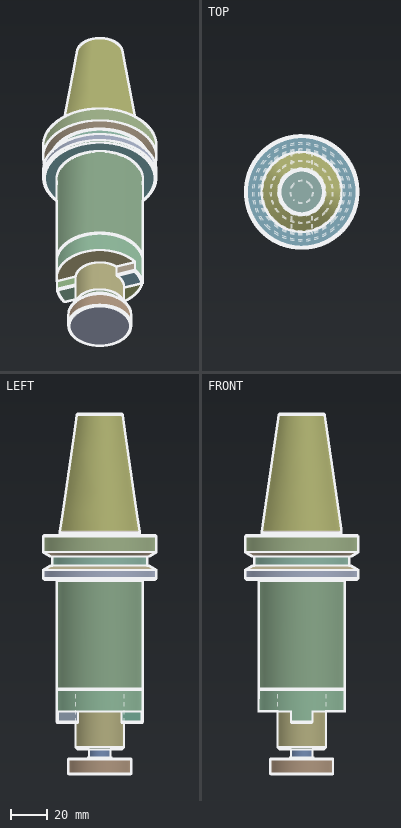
import cadquery as cq


GAUGE_DIAMETER = 44.45
TAPER_LENGTH = 65.4
TAPER_RATIO = 7 / 24
TAPER_TIP_CHAMFER = 0.8
TAPER_TIP_DIAMETER = GAUGE_DIAMETER - TAPER_RATIO * TAPER_LENGTH

NECK_RELIEF_TOP = -0.6
NECK_RELIEF_WIDTH = 1.0
SHANK_RELIEF_WIDTH = 0.6
RELIEF_DEPTH = 0.7

FLANGE_DIAMETER = 63.0
FLANGE_TOP = -2.0
FLANGE_BOTTOM = -27.0
FLANGE_CHAMFER = 1.0
GROOVE_CENTER = -16.6
GROOVE_MOUTH_WIDTH = 10.0
GROOVE_FLOOR_WIDTH = 5.0
GROOVE_WALL_DIAMETER = 54.8
GROOVE_FLOOR_DIAMETER = 53.0

SHANK_DIAMETER = 48.0
SHOULDER = -100.0
DRIVE_RING_HEIGHT = 12.0
SHANK_CHAMFER = 0.8
DRIVE_RING_TOP = SHOULDER + DRIVE_RING_HEIGHT

KEY_WIDTH = 12.0
KEY_HEIGHT = 6.3
KEY_CHAMFER = 0.6

SPIGOT_DIAMETER = 27.0
SPIGOT_LENGTH = 21.0
SPIGOT_CHAMFER = 1.3
SPIGOT_END = SHOULDER - SPIGOT_LENGTH

STEM_DIAMETER = 12.0
HEAD_DIAMETER = 35.0
HEAD_HEIGHT = 9.0
HEAD_GAP = 5.0
HEAD_CHAMFER = 0.6
COLLAR_DIAMETER = 13.0
COLLAR_HEIGHT = 0.5
HEAD_TOP = SPIGOT_END - HEAD_GAP
HEAD_BOTTOM = HEAD_TOP - HEAD_HEIGHT


def revolve_profile(points):
    """Revolve a closed (radius, height) outline about the Z axis."""
    return cq.Workplane("XZ").polyline(points).close().revolve(360, (0, 0), (0, 1))


def cylinder(diameter, bottom, top):
    return cq.Workplane("XY").workplane(offset=bottom).circle(diameter / 2).extrude(top - bottom)


def make_taper():
    taper = revolve_profile([
        (0, 0),
        (GAUGE_DIAMETER / 2, 0),
        (TAPER_TIP_DIAMETER / 2, TAPER_LENGTH),
        (0, TAPER_LENGTH),
    ])
    taper = taper.faces(">Z").chamfer(TAPER_TIP_CHAMFER)
    return taper.union(cylinder(GAUGE_DIAMETER, FLANGE_TOP, 0))


def make_flange():
    """Gripper flange whose sloping groove walls end in a small step at the floor."""
    flange = cylinder(FLANGE_DIAMETER, FLANGE_BOTTOM, FLANGE_TOP)
    flange = flange.faces("<Z or >Z").chamfer(FLANGE_CHAMFER)
    mouth = GROOVE_MOUTH_WIDTH / 2
    floor = GROOVE_FLOOR_WIDTH / 2
    groove = revolve_profile([
        (FLANGE_DIAMETER / 2, GROOVE_CENTER + mouth),
        (GROOVE_WALL_DIAMETER / 2, GROOVE_CENTER + floor),
        (GROOVE_FLOOR_DIAMETER / 2, GROOVE_CENTER + floor),
        (GROOVE_FLOOR_DIAMETER / 2, GROOVE_CENTER - floor),
        (GROOVE_WALL_DIAMETER / 2, GROOVE_CENTER - floor),
        (FLANGE_DIAMETER / 2, GROOVE_CENTER - mouth),
    ])
    return flange.cut(groove)


def make_shank():
    """Plain shank with a chamfered lower edge that meets the flat top of the drive ring."""
    shank = cylinder(SHANK_DIAMETER, DRIVE_RING_TOP, FLANGE_BOTTOM)
    return shank.faces("<Z").chamfer(SHANK_CHAMFER)


def relief_groove(diameter, bottom, top):
    """Ring-shaped cutter that recesses a cylinder of the given diameter."""
    core = cylinder(diameter - 2 * RELIEF_DEPTH, bottom, top)
    return cylinder(diameter, bottom, top).cut(core)


def make_reliefs():
    neck_relief = relief_groove(GAUGE_DIAMETER, NECK_RELIEF_TOP - NECK_RELIEF_WIDTH, NECK_RELIEF_TOP)
    shank_relief = relief_groove(SHANK_DIAMETER, FLANGE_BOTTOM - SHANK_RELIEF_WIDTH, FLANGE_BOTTOM)
    return neck_relief.union(shank_relief)


def make_spigot():
    """Pilot that passes through the drive ring and locates the cutter."""
    spigot = cylinder(SPIGOT_DIAMETER, SPIGOT_END, DRIVE_RING_TOP)
    return spigot.faces("<Z").chamfer(SPIGOT_CHAMFER)


def make_screw_end():
    """Stem and flat round head below the spigot."""
    head = cylinder(HEAD_DIAMETER, HEAD_BOTTOM, HEAD_TOP)
    head = head.faces("<Z or >Z").chamfer(HEAD_CHAMFER)
    collar = cylinder(COLLAR_DIAMETER, HEAD_TOP, HEAD_TOP + COLLAR_HEIGHT)
    stem = cylinder(STEM_DIAMETER, HEAD_TOP, SPIGOT_END)
    return head.union(collar).union(stem)


def make_arbor():
    arbor = make_taper().union(make_flange()).union(make_shank()).cut(make_reliefs())
    return arbor.union(make_spigot()).union(make_screw_end())


def make_keys():
    """One bar across the ring along Y, rounded at its ends by the ring diameter.

    The bore of the ring later removes its middle, which leaves a drive key on each side.
    """
    key_bottom = SHOULDER - KEY_HEIGHT
    bar = (
        cq.Workplane("XY")
        .workplane(offset=key_bottom)
        .rect(KEY_WIDTH, SHANK_DIAMETER)
        .extrude(KEY_HEIGHT)
    )
    bar = bar.intersect(cylinder(SHANK_DIAMETER, key_bottom, SHOULDER))
    return bar.faces("<Z").chamfer(KEY_CHAMFER)


def make_drive_ring():
    ring = cylinder(SHANK_DIAMETER, SHOULDER, DRIVE_RING_TOP).union(make_keys())
    bore = cylinder(SPIGOT_DIAMETER, SHOULDER - KEY_HEIGHT, DRIVE_RING_TOP)
    return ring.cut(bore)


arbor = make_arbor()
drive_ring = make_drive_ring()

result = cq.Compound.makeCompound([arbor.val(), drive_ring.val()])